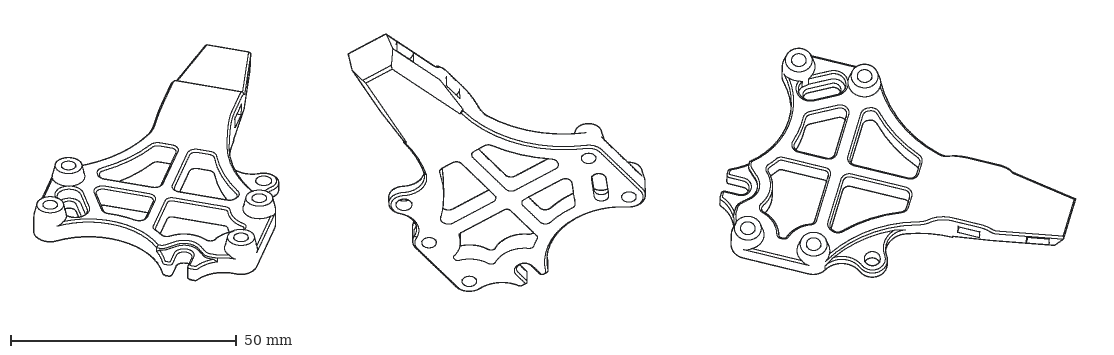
import cadquery as cq
import math

TILT = 1.0
PLATE_TOP = 5.0
EDGE = 0.5
TALL = 15.35

BOSS_X = 21.975
BOSS_LOW_Y = -15.1
BOSS_BASE_R = 3.64
BOSS_TOP_R = 3.0
BOSS_HEIGHT = 3.0
BOSS_HOLE_R = 1.6

ARM_HALF = 8.2
NECK_Y = 28.4
SHOULDER_Y = 37.0
SHOULDER_R = 1.5
NOSE_Y = 53.2
NOSE_HALF = 5.2
NOSE_TOP = 7.05
NOSE_ANGLE = 60.0
HUMP_TOP = 8.7
FRONT_SLOPE_Y = (34.5, 37.65, 38.3)
REAR_SLOPE_Y = (28.2, 22.7, 20.4)
BEVEL_TOP = 3.3
BEVEL_LOW = 0.8
BEVEL_INSET = 1.7
BEVEL_FOOT = 2.4

ARCH_X = -8.75
ARCH_Y = -30.45
ARCH_R = 16.65
FORK_TOP = 4.0
FORK_X = 10.16
FORK_Y = -19.7
FORK_R = 1.8
FORK_WALL_R = 3.6
FORK_END_Y = -23.6
FORK_TIP_R = 0.73
FORK_STEP_Y = -19.5
FORK_STEP_FILLET = 2.3
SADDLE_X = 21.1
SADDLE_R = 7.4

EAR_X = 19.4
EAR_Y = 12.9
EAR_R = 3.4
EAR_HOLE_R = 1.8
EAR_FILLET = 5.0
EAR_TOP = 3.0

WEB = 3.5
KEEP_R = 7.0
RIB_X = 1.57
RIB_Y = 1.8
WINDOW_TOP_Y = 17.0
WINDOW_SIDE_X = 20.5
WINDOW_FILLET = 1.45
BLUNT_FILLET = 1.0
NOTCH_FILLET = 0.7

SLOT_X = -18.6
SLOT_Y = -8.8
SLOT_ANGLE = -60.0
SLOT_SPAN = 5.4
SLOT_R = 1.6
SLOT_POCKET_R = 2.7
SLOT_POCKET_DEPTH = 3.0
SLOT_TO_WINDOW = 6.05

STRAP_BOTTOM = 3.45
STRAP_ROOF = 5.1
STRAP_LENGTH = 5.0
STRAP_MOUTH_R = 1.3
STRAP_Y = (47.3, 32.0)

FLANK_R = ((ARM_HALF - BOSS_X) ** 2 + NECK_Y**2 - BOSS_BASE_R**2) / (
    2 * (BOSS_BASE_R + BOSS_X - ARM_HALF)
)
FLANK_X = ARM_HALF + FLANK_R
SADDLE_Y = BOSS_LOW_Y - math.sqrt((SADDLE_R + BOSS_BASE_R) ** 2 - (SADDLE_X - BOSS_X) ** 2)
SIDE_X = BOSS_X + BOSS_BASE_R
BOSSES = [(sx * BOSS_X, y) for sx in (-1, 1) for y in (0, BOSS_LOW_Y)]


def toward(start, end, distance):
    """Point a given distance from start on the way to end."""
    span = math.dist(start, end)
    return tuple(a + (b - a) * distance / span for a, b in zip(start, end))


def arc_middle(center, radius, a, b):
    """Middle of the short arc from a to b about center."""
    return toward(center, ((a[0] + b[0]) / 2, (a[1] + b[1]) / 2), radius)


def on_circle(center, radius, y, side=1):
    """Point of a circle at the given y, on the chosen side."""
    return (center[0] + side * math.sqrt(radius**2 - (y - center[1]) ** 2), y)


def disc(x, y, radius, height=TALL):
    return cq.Workplane("XY").center(x, y).circle(radius).extrude(height)


def block(x0, x1, y0, y1, z0=0.0, z1=TALL):
    size = (x1 - x0, y1 - y0, z1 - z0)
    return cq.Workplane("XY").box(*size, centered=False).translate((x0, y0, z0))


def outline(height):
    """Full silhouette of plate, arm and fork."""
    arch = (ARCH_X, ARCH_Y)
    saddle = (SADDLE_X, SADDLE_Y)
    upper_l, upper_r = (-BOSS_X, 0), (BOSS_X, 0)
    lower_l, lower_r = (-BOSS_X, BOSS_LOW_Y), (BOSS_X, BOSS_LOW_Y)
    flank_l, flank_r = (-FLANK_X, NECK_Y), (FLANK_X, NECK_Y)

    flank_end_l = toward(upper_l, flank_l, BOSS_BASE_R)
    flank_end_r = toward(upper_r, flank_r, BOSS_BASE_R)
    arch_start = toward(lower_l, arch, BOSS_BASE_R)
    arch_end = on_circle(arch, ARCH_R, FORK_END_Y)
    saddle_start = on_circle(saddle, SADDLE_R, FORK_END_Y, side=-1)
    saddle_end = toward(lower_r, saddle, BOSS_BASE_R)

    def boss_arc(wire, center, corner, end):
        return wire.threePointArc(toward(center, corner, BOSS_BASE_R), end)

    wire = cq.Workplane("XY").moveTo(-NOSE_HALF, NOSE_Y).lineTo(-ARM_HALF, SHOULDER_Y)
    wire = wire.lineTo(-ARM_HALF, NECK_Y)
    wire = wire.threePointArc(
        arc_middle(flank_l, FLANK_R, (-ARM_HALF, NECK_Y), flank_end_l), flank_end_l
    )
    wire = boss_arc(wire, upper_l, (-SIDE_X, BOSS_BASE_R / 2), (-SIDE_X, 0))
    wire = wire.lineTo(-SIDE_X, BOSS_LOW_Y)
    wire = boss_arc(wire, lower_l, (-SIDE_X, BOSS_LOW_Y - SIDE_X), arch_start)
    wire = wire.threePointArc(arc_middle(arch, ARCH_R, arch_start, arch_end), arch_end)
    wire = wire.lineTo(FORK_X - FORK_R, FORK_END_Y).lineTo(FORK_X - FORK_R, FORK_Y)
    wire = wire.threePointArc((FORK_X, FORK_Y + FORK_R), (FORK_X + FORK_R, FORK_Y))
    wire = wire.lineTo(FORK_X + FORK_R, FORK_END_Y).lineTo(*saddle_start)
    wire = wire.threePointArc(
        arc_middle(saddle, SADDLE_R, saddle_start, saddle_end), saddle_end
    )
    wire = boss_arc(wire, lower_r, (SIDE_X, BOSS_LOW_Y - BOSS_BASE_R), (SIDE_X, BOSS_LOW_Y))
    wire = wire.lineTo(SIDE_X, 0)
    wire = boss_arc(wire, upper_r, (SIDE_X, BOSS_BASE_R / 2), flank_end_r)
    wire = wire.threePointArc(
        arc_middle(flank_r, FLANK_R, (ARM_HALF, NECK_Y), flank_end_r), (ARM_HALF, NECK_Y)
    )
    wire = wire.lineTo(ARM_HALF, SHOULDER_Y).lineTo(NOSE_HALF, NOSE_Y).close()
    solid = wire.extrude(height)
    prong_tips = cq.selectors.BoxSelector(
        (0, FORK_END_Y - 0.8, -0.8), (BOSS_X, FORK_END_Y + EDGE, TALL + 0.8)
    )
    solid = solid.edges("|Z").edges(prong_tips).fillet(FORK_TIP_R)
    shoulders = cq.selectors.BoxSelector(
        (-SIDE_X, SHOULDER_Y - EDGE, -0.8), (SIDE_X, SHOULDER_Y + EDGE, TALL + 0.8)
    )
    return solid.edges("|Z").edges(shoulders).fillet(SHOULDER_R)


def slope_points(places, crest_z, foot_z):
    """Five points of a convex arc flowing into a concave one, crest to foot."""
    crest_y, middle_y, foot_y = places
    way = math.copysign(1, foot_y - crest_y)
    steep = 2 * math.atan((crest_z - foot_z) / abs(foot_y - crest_y))
    convex_r = abs(middle_y - crest_y) / math.sin(steep)
    concave_r = abs(foot_y - middle_y) / math.sin(steep)

    def on_arc(y, z, run_r, drop_r, angle):
        return (y + run_r * math.sin(angle), z - drop_r * (1 - math.cos(angle)))

    return [
        (crest_y, crest_z),
        on_arc(crest_y, crest_z, way * convex_r, convex_r, steep / 2),
        on_arc(crest_y, crest_z, way * convex_r, convex_r, steep),
        on_arc(foot_y, foot_z, -way * concave_r, -concave_r, steep / 2),
        (foot_y, foot_z),
    ]


def side_profile():
    """Long section of plate and arm, swept across the full width."""
    front = slope_points(FRONT_SLOPE_Y, HUMP_TOP, NOSE_TOP)[::-1]
    rear = slope_points(REAR_SLOPE_Y, HUMP_TOP, PLATE_TOP)
    back = FORK_END_Y - 0.8
    nose_foot = NOSE_Y - NOSE_TOP / math.tan(math.radians(NOSE_ANGLE))
    wire = cq.Workplane("YZ").moveTo(back, 0).lineTo(nose_foot, 0).lineTo(NOSE_Y, NOSE_TOP)
    for start, bend_1, middle, bend_2, end in (front, rear):
        wire = wire.lineTo(*start).threePointArc(bend_1, middle).threePointArc(bend_2, end)
    return wire.lineTo(back, PLATE_TOP).close().extrude(SIDE_X + 0.8, both=True)


def fork_step():
    """Area over the fork where the plate is lowered."""
    peak = FORK_Y + FORK_WALL_R * math.sqrt(2)
    half = peak - FORK_STEP_Y
    left, right, below = 0.0, BOSS_X - 1.5, FORK_END_Y - 0.8
    points = [
        (left, FORK_STEP_Y),
        (FORK_X - half, FORK_STEP_Y),
        (FORK_X, peak),
        (FORK_X + half, FORK_STEP_Y),
        (right, FORK_STEP_Y),
        (right, below),
        (left, below),
    ]
    area = cq.Workplane("XY").polyline(points).close().extrude(TALL)
    near = cq.selectors.NearestToPointSelector
    area = area.edges(near((FORK_X, peak, TALL / 2))).fillet(FORK_WALL_R)
    for x in (FORK_X - half, FORK_X + half):
        area = area.edges(near((x, FORK_STEP_Y, TALL / 2))).fillet(FORK_STEP_FILLET)
    return area


def arm_bevel():
    """Two-facet wedge under the right tapered arm side, running out along the neck."""
    dx, dy = NOSE_HALF - ARM_HALF, NOSE_Y - SHOULDER_Y
    plane = cq.Plane(origin=(ARM_HALF, SHOULDER_Y, 0), xDir=(dy, -dx, 0), normal=(-dx, -dy, 0))
    wedge = [
        (0, BEVEL_TOP),
        (-BEVEL_INSET, BEVEL_LOW),
        (-BEVEL_FOOT, 0),
        (-BEVEL_FOOT, -0.8),
        (0.8, -0.8),
        (0.8, BEVEL_TOP),
    ]
    strip = cq.Workplane(plane).polyline(wedge).close().extrude(TALL + 3.8, both=True)
    return strip.intersect(block(0, TALL, NECK_Y, NOSE_Y + 0.8, -0.8))


def cut_strap_slot(body, y):
    """Slot across the arm with its roof rounded over at both mouths."""
    rear, front = y - STRAP_LENGTH / 2, y + STRAP_LENGTH / 2
    body = body.cut(block(-TALL, TALL, rear, front, STRAP_BOTTOM, STRAP_ROOF))
    roof = cq.selectors.BoxSelector(
        (-TALL, rear, STRAP_ROOF - EDGE), (TALL, front, STRAP_ROOF + EDGE)
    )
    return body.edges(roof).edges("not |X").edges("not |Z").fillet(STRAP_MOUTH_R)


def main_body():
    """Plate and arm with chamfered edges, without fork and ear."""
    body = outline(TALL).intersect(side_profile())
    body = body.faces("<Z").edges().chamfer(EDGE)
    bevel = arm_bevel()
    body = body.cut(bevel).cut(bevel.mirror("YZ")).cut(fork_step())

    def is_rim(edge):
        box = edge.BoundingBox()
        across = box.ylen < 0.001 and box.zlen < 0.001
        flat_enough = box.xlen + box.ylen > 0.001
        at_nose = box.ymax > NOSE_Y - EDGE
        return box.zmin > PLATE_TOP - 0.001 and flat_enough and (at_nose or not across)

    rim = [edge for edge in body.edges().vals() if is_rim(edge)]
    body = body.newObject(rim).chamfer(EDGE)
    for y in STRAP_Y:
        body = cut_strap_slot(body, y)
    return body


def fork():
    """Lowered forked tab, reaching back under the plate."""
    area = block(2.3, BOSS_X - 3.8, FORK_END_Y - 0.8, BOSS_LOW_Y)
    tab = outline(FORK_TOP).intersect(area)
    return tab.faces("<Z or >Z").edges().chamfer(EDGE)


def ear():
    """Lowered lug whose two fillets run tangent into the flank arc."""
    lug, flank = (EAR_X, EAR_Y), (FLANK_X, NECK_Y)
    span = math.dist(lug, flank)
    reach = EAR_R + EAR_FILLET
    along = (span**2 + reach**2 - (FLANK_R - EAR_FILLET) ** 2) / (2 * span)
    off = math.sqrt(reach**2 - along**2)
    foot = toward(lug, flank, along)
    ux, uy = (flank[0] - lug[0]) / span, (flank[1] - lug[1]) / span
    upper = (foot[0] - uy * off, foot[1] + ux * off)
    lower = (foot[0] + uy * off, foot[1] - ux * off)
    root_u = toward(flank, upper, FLANK_R)
    root_l = toward(flank, lower, FLANK_R)
    lug_u = toward(lug, upper, EAR_R)
    lug_l = toward(lug, lower, EAR_R)
    far = toward(lug, flank, EAR_R)
    inner_u = toward(flank, root_u, FLANK_R + 2 * EDGE)
    inner_l = toward(flank, root_l, FLANK_R + 2 * EDGE)
    inner_mid = arc_middle(flank, FLANK_R + 2 * EDGE, inner_u, inner_l)
    wire = cq.Workplane("XY").moveTo(*root_u)
    wire = wire.threePointArc(arc_middle(upper, EAR_FILLET, root_u, lug_u), lug_u)
    wire = wire.threePointArc(far, lug_l)
    wire = wire.threePointArc(arc_middle(lower, EAR_FILLET, lug_l, root_l), root_l)
    wire = wire.lineTo(*inner_l).threePointArc(inner_mid, inner_u).close()
    return wire.extrude(EAR_TOP).faces("<Z or >Z").edges().chamfer(EDGE)


def slot_cutter(radius, floor):
    shape = cq.Workplane("XY").slot2D(SLOT_SPAN + 2 * radius, 2 * radius, SLOT_ANGLE)
    return shape.extrude(TALL).translate((SLOT_X, SLOT_Y, floor))


def windows():
    """The four lightening openings, one per quadrant of the cross ribs."""
    top_right = block(RIB_X, BOSS_X, RIB_Y, WINDOW_TOP_Y)
    top_right = top_right.cut(disc(FLANK_X, NECK_Y, FLANK_R + WEB)).cut(disc(BOSS_X, 0, KEEP_R))
    top_right = top_right.edges("|Z").fillet(WINDOW_FILLET)

    arch_rim = disc(ARCH_X, ARCH_Y, ARCH_R + WEB)
    low_left = block(-BOSS_X, -RIB_X, BOSS_LOW_Y, -RIB_Y).cut(arch_rim)
    slot_side = block(-2 * TALL, 2 * TALL, -2 * TALL, SLOT_TO_WINDOW)
    slot_side = slot_side.rotate((0, 0, 0), (0, 0, 1), SLOT_ANGLE).translate((SLOT_X, SLOT_Y, 0))
    low_left = low_left.cut(slot_side).edges("|Z").fillet(WINDOW_FILLET)

    low_right = block(RIB_X, WINDOW_SIDE_X, FORK_Y, -RIB_Y).cut(arch_rim)
    for x, y in [(BOSS_X, 0), (BOSS_X, BOSS_LOW_Y), (FORK_X, FORK_Y)]:
        low_right = low_right.cut(disc(x, y, KEEP_R))
    low_right = low_right.solids(cq.selectors.NearestToPointSelector((FORK_X, -KEEP_R, 0)))
    notch = cq.selectors.BoxSelector((WINDOW_SIDE_X - 0.8, FORK_Y, -0.8), (BOSS_X, 0, TALL + 0.8))
    low_right = low_right.edges("|Z").edges(notch).fillet(NOTCH_FILLET)
    blunt = cq.selectors.BoxSelector((0, FORK_Y, -0.8), (WINDOW_SIDE_X - 1.5, 0, TALL + 0.8))
    low_right = low_right.edges("|Z").edges(blunt).fillet(BLUNT_FILLET)
    return [top_right, top_right.mirror("YZ"), low_left, low_right]


def chamfer_openings(body, z):
    """Chamfer the rims of all openings in the plate face at height z."""
    face = body.faces("|Z").faces(cq.selectors.NearestToPointSelector((0, 0, z))).val()
    rims = [edge for wire in face.innerWires() for edge in wire.Edges()]
    return body.newObject(rims).chamfer(EDGE)


def open_plate(body):
    """Cut the windows and the slot pocket."""
    for window in windows():
        body = body.cut(window)
    body = body.cut(slot_cutter(SLOT_POCKET_R, PLATE_TOP - SLOT_POCKET_DEPTH))
    return chamfer_openings(body, PLATE_TOP)


def boss(x, y):
    """Tapered boss on a round column that also fills the chamfer and pocket below it."""
    column = disc(x, y, BOSS_BASE_R, PLATE_TOP - EDGE).translate((0, 0, EDGE))
    cone = cq.Solid.makeCone(BOSS_BASE_R, BOSS_TOP_R, BOSS_HEIGHT, cq.Vector(x, y, PLATE_TOP))
    return column.union(cq.Workplane(cone))


plate = open_plate(main_body().union(fork()).union(ear()))
for place in BOSSES:
    plate = plate.union(boss(*place))
for place in BOSSES:
    plate = plate.cut(disc(*place, BOSS_HOLE_R))
plate = plate.cut(disc(EAR_X, EAR_Y, EAR_HOLE_R)).cut(slot_cutter(SLOT_R, 0))

result = plate.rotate((0, 0, 0), (1, 0, 0), -TILT)